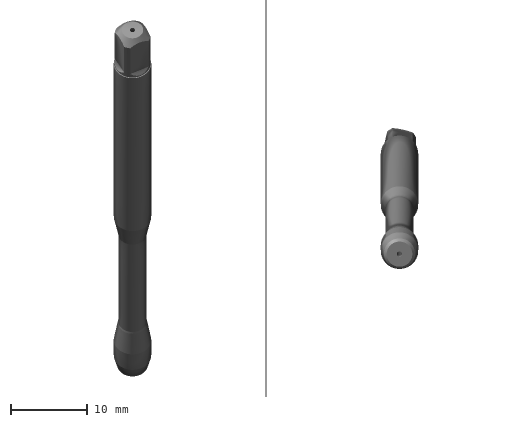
import cadquery as cq

total_length = 70.1
shank_diameter = 4.9
neck_diameter = 3.7
bore_diameter = 0.7

head_diameter = 4.9
tip_diameter = 3.35
lead_start_diameter = 4.1
lead_start_z = 0.35
lead_end_z = 2.25
head_taper_z = 5.5
head_shoulder_diameter = 3.85
head_shoulder_z = 9.1
head_top_z = 9.4

shank_taper_bottom_z = 27.6
shank_taper_top_z = 31.2

drive_across_flats = 3.85
drive_base_z = 63.1
drive_diameter = 4.7
drive_flat_bottom_z = 63.8
drive_runout_height = 0.6
drive_top_diameter = 2.8


def revolved(profile):
    """Solid of revolution about Z from (diameter, height) points."""
    outline = [(diameter / 2, height) for diameter, height in profile]
    bottom_axis = (0, profile[0][1])
    top_axis = (0, profile[-1][1])
    points = [bottom_axis, *outline, top_axis]
    return cq.Workplane("XZ").polyline(points).close().revolve(360, (0, 0), (0, 1))


def cut_bore(body):
    """Cut the central hole along the whole axis."""
    bore = cq.Workplane("XY").circle(bore_diameter / 2).extrude(total_length)
    return body.cut(bore)


def drive_flat_cutter():
    """Material outside one flat on the +X side, with a sloping run-out at its lower end."""
    flat_x = drive_across_flats / 2
    outer_x = shank_diameter
    shank_radius = shank_diameter / 2
    slope = drive_runout_height / (shank_radius - flat_x)
    outer_z = drive_flat_bottom_z - slope * (outer_x - flat_x)
    points = [
        (flat_x, drive_flat_bottom_z),
        (outer_x, outer_z),
        (outer_x, total_length),
        (flat_x, total_length),
    ]
    return cq.Workplane("XZ").polyline(points).close().extrude(shank_diameter, both=True)


def make_head():
    """Barrel-shaped cutting head with a tapered lead and a tapered back."""
    profile = [
        (tip_diameter, 0),
        (lead_start_diameter, lead_start_z),
        (head_diameter, lead_end_z),
        (head_diameter, head_taper_z),
        (head_shoulder_diameter, head_shoulder_z),
        (neck_diameter, head_top_z),
    ]
    return cut_bore(revolved(profile))


def make_shank():
    """Neck, shank and square drive, standing on the head."""
    top_cone_height = (drive_diameter - drive_top_diameter) / 2
    profile = [
        (neck_diameter, head_top_z),
        (neck_diameter, shank_taper_bottom_z),
        (shank_diameter, shank_taper_top_z),
        (shank_diameter, drive_base_z),
        (drive_diameter, drive_base_z),
        (drive_diameter, total_length - top_cone_height),
        (drive_top_diameter, total_length),
    ]
    body = revolved(profile)
    flat_cutter = drive_flat_cutter()
    for angle in (0, 90, 180, 270):
        body = body.cut(flat_cutter.rotate((0, 0, 0), (0, 0, 1), angle))
    return cut_bore(body)


head = make_head()
shank = make_shank()
result = cq.Compound.makeCompound([head.val(), shank.val()])